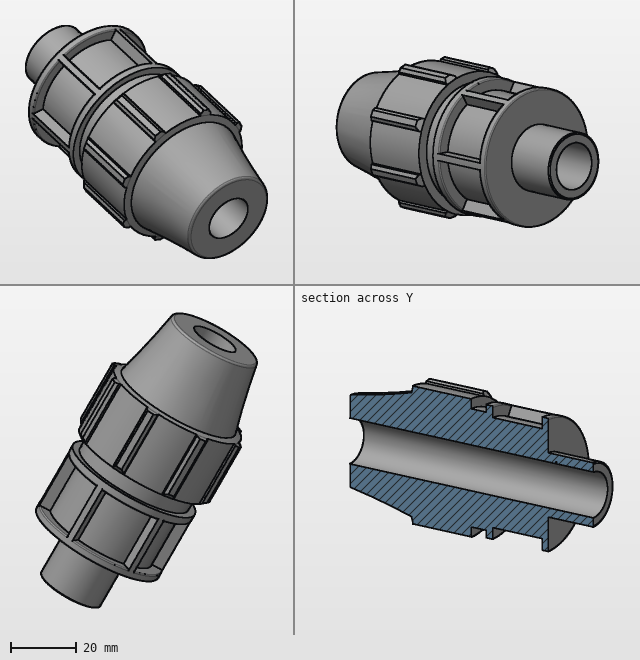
import cadquery as cq
import math


total_length = 92.0
bore_diameter = 14.67
spigot_radius = 20.95 / 2
spigot_face_radius = 20.0 / 2
spigot_chamfer_length = 0.3

collar_start = 17.0
collar_end = 40.6
collar_radius = 43.2 / 2
collar_rim_fillet = 0.35
window_start = 19.55
window_end = 37.95
window_floor_radius = 17.85
window_rim_fillet = 0.4
collar_rib_count = 6
collar_rib_width = 2.2

neck_radius = 38.4 / 2

nut_start = 46.1
nut_radius = 22.4
grip_top_radius = 24.0
grip_count = 8
grip_width = 4.12
grip_chamfer = 1.0
grip_lead_in = 1.4
grip_first_angle = 180.0 / grip_count

rear_cone_start = 67.75
rear_cone_end = 68.85

nose_base_radius = 20.1
nose_tip_radius = 15.0
nose_sag = 0.3
nose_fillet = 0.8


def revolve_about_x(profile):
    """Turn a profile drawn as (x, radius) into a solid of revolution."""
    return profile.close().revolve(360, (0, 0, 0), (1, 0, 0))


def rear_cone_x(radius):
    """Position along X of the rear cone at a given radius."""
    share = (grip_top_radius - radius) / (grip_top_radius - nose_base_radius)
    return rear_cone_start + share * (rear_cone_end - rear_cone_start)


def make_body():
    nose_length = total_length - rear_cone_end
    nose_drop = nose_base_radius - nose_tip_radius
    nose_chord = math.hypot(nose_length, nose_drop)
    nose_middle = (
        (rear_cone_end + total_length) / 2 - nose_sag * nose_drop / nose_chord,
        (nose_base_radius + nose_tip_radius) / 2 - nose_sag * nose_length / nose_chord,
    )
    profile = (
        cq.Workplane("XY")
        .moveTo(0, 0)
        .lineTo(0, spigot_face_radius)
        .lineTo(spigot_chamfer_length, spigot_radius)
        .lineTo(collar_start, spigot_radius)
        .lineTo(collar_start, collar_radius - collar_rim_fillet)
        .radiusArc((collar_start + collar_rim_fillet, collar_radius), collar_rim_fillet)
        .lineTo(window_start - window_rim_fillet, collar_radius)
        .radiusArc((window_start, collar_radius - window_rim_fillet), window_rim_fillet)
        .lineTo(window_start, window_floor_radius)
        .lineTo(window_end, window_floor_radius)
        .lineTo(window_end, collar_radius - window_rim_fillet)
        .radiusArc((window_end + window_rim_fillet, collar_radius), window_rim_fillet)
        .lineTo(collar_end, collar_radius)
        .lineTo(collar_end, neck_radius)
        .lineTo(nut_start, neck_radius)
        .lineTo(nut_start, nut_radius)
        .lineTo(rear_cone_x(nut_radius), nut_radius)
        .lineTo(rear_cone_end, nose_base_radius)
        .threePointArc(nose_middle, (total_length, nose_tip_radius))
        .lineTo(total_length, 0)
    )
    return revolve_about_x(profile).faces(">X").edges().fillet(nose_fillet)


def make_collar_ribs():
    """Parallel-sided ribs that divide the collar channel into windows."""
    rib_start = window_start - window_rim_fillet
    rib_length = window_end + window_rim_fillet - rib_start
    ribs = cq.Workplane("XY")
    for index in range(collar_rib_count):
        rib = (
            cq.Workplane("XY")
            .box(rib_length, collar_radius, collar_rib_width, centered=(False, False, True))
            .translate((rib_start, 0, 0))
            .rotate((0, 0, 0), (1, 0, 0), index * 360.0 / collar_rib_count)
        )
        ribs = ribs.add(rib)
    rim = cq.Workplane("YZ", origin=(rib_start, 0, 0)).circle(collar_radius).extrude(rib_length)
    return ribs.combine().intersect(rim)


def make_grip_ribs():
    """Ribs along the nut with chamfered crests, sloped at both ends."""
    root_radius = neck_radius
    half_width = grip_width / 2
    top_half_width = half_width - grip_chamfer
    shoulder_radius = grip_top_radius - grip_chamfer
    section = [
        (half_width, root_radius),
        (half_width, shoulder_radius),
        (top_half_width, grip_top_radius),
        (-top_half_width, grip_top_radius),
        (-half_width, shoulder_radius),
        (-half_width, root_radius),
    ]
    side = [
        (nut_start, root_radius),
        (nut_start, nut_radius),
        (nut_start + grip_lead_in, grip_top_radius),
        (rear_cone_start, grip_top_radius),
        (rear_cone_x(nut_radius), nut_radius),
        (rear_cone_x(nut_radius), root_radius),
    ]
    bar = (
        cq.Workplane("YZ", origin=(nut_start, 0, 0))
        .polyline(section)
        .close()
        .extrude(total_length - nut_start)
    )
    outline = cq.Workplane("XZ").polyline(side).close().extrude(half_width, both=True)
    grip = bar.intersect(outline)
    grips = cq.Workplane("XY")
    for index in range(grip_count):
        angle = grip_first_angle + index * 360.0 / grip_count
        grips = grips.add(grip.rotate((0, 0, 0), (1, 0, 0), angle))
    return grips


body = make_body().union(make_collar_ribs())
for grip_rib in make_grip_ribs().vals():
    body = body.union(cq.Workplane(grip_rib))
bore = cq.Workplane("YZ").circle(bore_diameter / 2).extrude(total_length)
result = body.cut(bore)